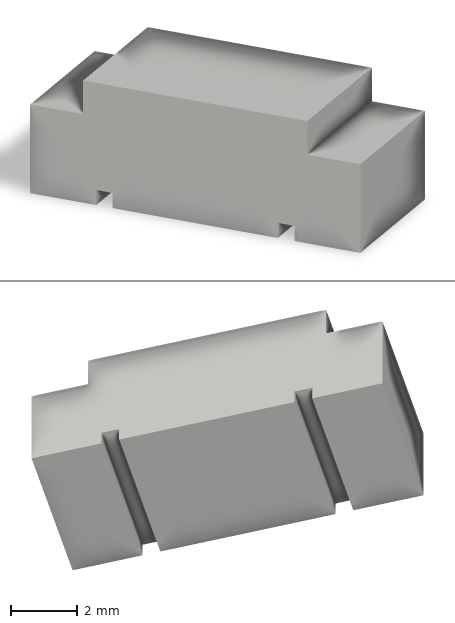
import cadquery as cq

length = 11.0
width = 4.6
height = 4.0

crown_length = 7.47
crown_height = 1.1
foot_length = 5.5

pad_length = 2.2
pad_height = 0.5


def full_width_block(size_x, size_z, center_x, bottom_z):
    """Block across the full width, centred on Y, standing on bottom_z."""
    block = cq.Workplane("XY").box(size_x, width, size_z, centered=(True, True, False))
    return block.translate((center_x, 0, bottom_z))


def make_housing():
    """Body with a raised crown on top and a foot between the pads."""
    shoulder_z = height - crown_height
    main_block = full_width_block(length, shoulder_z - pad_height, 0, pad_height)
    crown = full_width_block(crown_length, crown_height, 0, shoulder_z)
    foot = full_width_block(foot_length, pad_height, 0, 0)
    return main_block.union(crown).union(foot)


def make_pad(side):
    """Terminal pad flush with one end: side is -1 or +1 along X."""
    center_x = side * (length - pad_length) / 2
    return full_width_block(pad_length, pad_height, center_x, 0)


housing = make_housing()
pads = [make_pad(side) for side in (-1, 1)]

result = cq.Compound.makeCompound([housing.val(), *[pad.val() for pad in pads]])